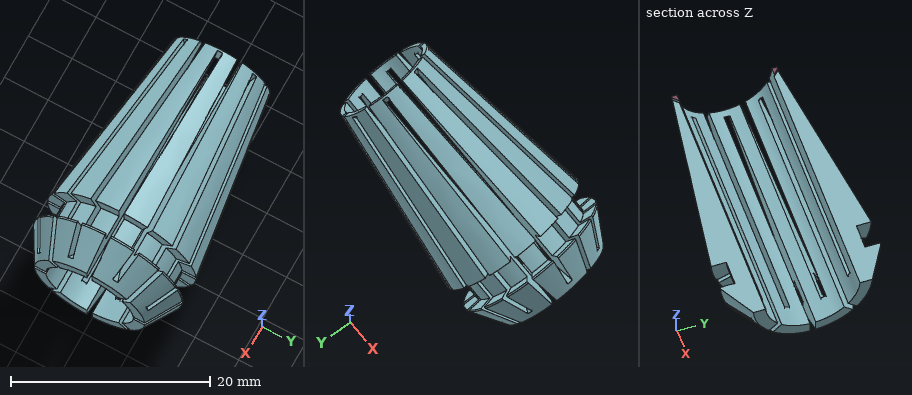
import cadquery as cq
import math

length = 27.5
rim_radius = 8.5
bore_radius = 5.0
body_half_angle = 8.0
head_half_angle = 30.0

groove_start = 20.8
groove_end = 23.5
groove_radius = 6.9
head_land_width = 0.2

slots_per_set = 8
slot_width = 0.6
slot_end_angle = 45.0
small_end_web = 0.25
large_end_web = 0.7
cut_margin = 1.0

slot_pitch = 360.0 / slots_per_set
head_cone_start = groove_end + head_land_width
body_slope = math.tan(math.radians(body_half_angle))
head_slope = math.tan(math.radians(head_half_angle))
end_slope = math.tan(math.radians(slot_end_angle))


def body_radius(x):
    """Outer radius of the long taper at position x."""
    return rim_radius - (groove_start - x) * body_slope


def head_radius(x):
    """Outer radius of the short taper at position x."""
    return rim_radius - (x - head_cone_start) * head_slope


def make_sleeve():
    """Double-tapered sleeve, revolved about X."""
    profile = [
        (0, bore_radius),
        (0, body_radius(0)),
        (groove_start, rim_radius),
        (groove_start, groove_radius),
        (groove_end, groove_radius),
        (groove_end, rim_radius),
        (head_cone_start, rim_radius),
        (length, head_radius(length)),
        (length, bore_radius),
    ]
    return cq.Workplane("XY").polyline(profile).close().revolve(360, (0, 0, 0), (1, 0, 0))


def slot_cutter(open_x, closed_x, closed_radius, slope):
    """Radial slot on the +Z side; its sloped end meets the outer surface at closed_x."""
    inner = bore_radius - cut_margin
    outer = rim_radius + cut_margin
    outline = [
        (open_x, inner),
        (open_x, outer),
        (closed_x + (closed_radius - outer) * slope, outer),
        (closed_x + (closed_radius - inner) * slope, inner),
    ]
    return cq.Workplane("XZ").polyline(outline).close().extrude(slot_width / 2, both=True)


def cut_slot_set(body, cutter, first_angle):
    """Cut one set of evenly spaced slots around X."""
    for index in range(slots_per_set):
        angle = first_angle + index * slot_pitch
        body = body.cut(cutter.rotate((0, 0, 0), (1, 0, 0), angle))
    return body


large_end_slot = slot_cutter(
    length + cut_margin, small_end_web, body_radius(small_end_web), end_slope
)
small_end_closed_x = length - large_end_web
small_end_slot = slot_cutter(
    -cut_margin, small_end_closed_x, head_radius(small_end_closed_x), -end_slope
)

result = make_sleeve()
result = cut_slot_set(result, large_end_slot, 0)
result = cut_slot_set(result, small_end_slot, slot_pitch / 2)